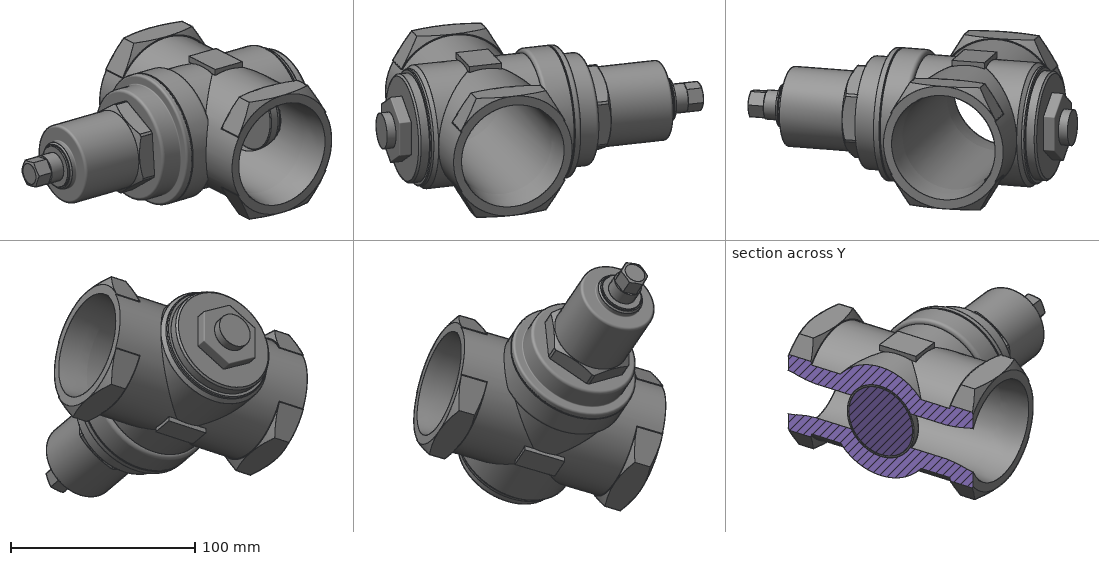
import cadquery as cq
import math

pipe_length = 119.5
shell_radius = 33.8
bore_radius = 28.0
socket_mouth_radius = 29.3
socket_depth = 17.3
end_hex_flats = 68.7
end_hex_length = 15.3
nut_chamfer_angle = 30.0
front_flange_radius = 36.3
front_flange_back_y = -27.8
front_flange_end_y = -43.2
front_flange_back_round = 2.2
front_flange_chamfer = 0.7
rear_face_y = 36.0
rear_chamfer_width = 1.8
rear_chamfer_length = 2.2
pad_length = 23.6
top_pad_width = 18.4
bottom_pad_width = 13.3
pad_height = 36.0

seal_ring_length = 1.8
seal_ring_chamfer = 0.5
plug_seat_y = rear_face_y + seal_ring_length
spigot_radius = 21.6
spigot_end_y = 21.0
spigot_chamfer = 0.5
groove_start_y = 26.0
groove_length = 1.8
groove_depth = 0.9
plug_flange_radius = 29.8
plug_flange_end_y = 43.6
plug_flange_chamfer = 1.0
rear_hex_flats = 32.7
rear_hex_end_y = 50.3
rear_hex_round = 0.5
nipple_radius = 9.8
nipple_end_y = 55.5

bonnet_flange_end_y = -46.7
bonnet_flange_round = 1.3
drum_radius = 30.9
drum_end_y = -58.9
drum_round = 1.6
base_round = 0.5
housing_hex_flats = 44.5
housing_hex_corner_radius = 25.3
housing_hex_end_y = -68.5
housing_hex_turn = 5.0
housing_radius = 21.8
housing_end_y = -104.1
housing_round = 1.5
collar_radius = 13.0
collar_end_y = -108.0
collar_chamfer = 0.9
spindle_disc_radius = 11.5
spindle_disc_end_y = -109.0
spindle_radius = 8.0
spindle_round_end_y = -117.0
spindle_end_y = -126.3
spindle_hex_turn = 8.0
spindle_tip_radius = 5.8
spindle_tip_length = 0.7


def y_cylinder(radius, start_y, end_y):
    """Solid cylinder on the Y axis."""
    return cq.Workplane("XZ", origin=(0, start_y, 0)).circle(radius).extrude(start_y - end_y)


def y_hexagon(corner_radius, turn, start_y, end_y):
    """Hexagonal prism on the Y axis, with one corner turned from +X toward +Z by `turn` degrees."""
    corners = []
    for i in range(6):
        angle = math.radians(turn + 60 * i)
        corners.append((corner_radius * math.cos(angle), corner_radius * math.sin(angle)))
    return cq.Workplane("XZ", origin=(0, start_y, 0)).polyline(corners).close().extrude(start_y - end_y)


def corner_radius_of(flats):
    """Corner radius of a hexagon from its size across flats."""
    return flats / math.sqrt(3)


def make_end_hexagon(side):
    """Trimmed hexagon at one pipe end, its corners chamfered at both faces."""
    flat_radius = end_hex_flats / 2
    corner_radius = corner_radius_of(end_hex_flats)
    rise = (corner_radius - flat_radius) * math.tan(math.radians(nut_chamfer_angle))
    inner_x = pipe_length / 2 - end_hex_length
    outer_x = pipe_length / 2
    hexagon = cq.Workplane("YZ", origin=(inner_x, 0, 0)).polygon(6, 2 * corner_radius).extrude(end_hex_length)
    envelope = (
        cq.Workplane("XY")
        .moveTo(inner_x, 0)
        .lineTo(inner_x, flat_radius)
        .lineTo(inner_x + rise, corner_radius)
        .lineTo(outer_x - rise, corner_radius)
        .lineTo(outer_x, flat_radius)
        .lineTo(outer_x, 0)
        .close()
        .revolve(360, (0, 0, 0), (1, 0, 0))
    )
    side_gap = cq.Workplane("XY").box(2 * pipe_length, 2 * end_hex_flats, flat_radius)
    hexagon = hexagon.intersect(envelope).cut(side_gap)
    return hexagon if side > 0 else hexagon.mirror("YZ")


def make_valve_body():
    pipe = cq.Workplane("YZ").circle(shell_radius).extrude(pipe_length / 2, both=True)
    for side in (-1, 1):
        pipe = pipe.union(make_end_hexagon(side))

    barrel = (
        y_cylinder(shell_radius, rear_face_y, front_flange_end_y)
        .faces(">Y")
        .chamfer(rear_chamfer_length, rear_chamfer_width)
    )
    flange = (
        y_cylinder(front_flange_radius, front_flange_back_y, front_flange_end_y)
        .faces(">Y").edges().fillet(front_flange_back_round)
        .faces("<Y").chamfer(front_flange_chamfer)
    )
    body = pipe.union(barrel).union(flange)

    top_pad = cq.Workplane("XY").rect(pad_length, top_pad_width).extrude(pad_height)
    bottom_pad = cq.Workplane("XY").rect(pad_length, bottom_pad_width).extrude(-pad_height)
    body = body.union(top_pad).union(bottom_pad)

    return body.cut(make_pipe_bore()).cut(y_cylinder(spigot_radius, rear_face_y, 0))


def make_pipe_bore():
    """Through bore along X with a tapered socket at each end."""
    end_x = pipe_length / 2
    step_x = end_x - socket_depth
    return (
        cq.Workplane("XY")
        .moveTo(-end_x, 0)
        .lineTo(-end_x, socket_mouth_radius)
        .lineTo(-step_x, bore_radius)
        .lineTo(step_x, bore_radius)
        .lineTo(end_x, socket_mouth_radius)
        .lineTo(end_x, 0)
        .close()
        .revolve(360, (0, 0, 0), (1, 0, 0))
    )


def make_seal_ring():
    """Flat ring between the rear face of the valve body and the plug flange."""
    ring = (
        y_cylinder(shell_radius - rear_chamfer_width, plug_seat_y, rear_face_y)
        .faces(">Y")
        .chamfer(seal_ring_chamfer)
    )
    return ring.cut(y_cylinder(spigot_radius, plug_seat_y, rear_face_y))


def make_rear_plug():
    """Flanged plug whose grooved spigot fills the rear opening of the valve body."""
    flange = (
        y_cylinder(plug_flange_radius, plug_flange_end_y, plug_seat_y)
        .faces(">Y")
        .chamfer(plug_flange_chamfer)
    )
    spigot = (
        y_cylinder(spigot_radius, plug_seat_y, spigot_end_y)
        .faces("<Y")
        .chamfer(spigot_chamfer)
    )
    groove_end_y = groove_start_y + groove_length
    groove = y_cylinder(spigot_radius, groove_end_y, groove_start_y).cut(
        y_cylinder(spigot_radius - groove_depth, groove_end_y, groove_start_y)
    )
    return flange.union(spigot.cut(groove))


def make_rear_nipple():
    """Round nipple on a hexagon, one corner of it pointing up."""
    hexagon = y_hexagon(corner_radius_of(rear_hex_flats), 90, rear_hex_end_y, plug_flange_end_y)
    hexagon = hexagon.edges().fillet(rear_hex_round)
    return hexagon.union(y_cylinder(nipple_radius, nipple_end_y, rear_hex_end_y))


def make_base_round(radius, base_y):
    """Ring with a concave round, at the foot of a cylinder that stands toward -Y on a face."""
    round_end = (radius, base_y - base_round)
    round_start = (radius + base_round, base_y)
    sag = base_round * (1 - math.sqrt(0.5))
    return (
        cq.Workplane("XY")
        .moveTo(0, base_y)
        .lineTo(*round_start)
        .threePointArc((radius + sag, base_y - sag), round_end)
        .lineTo(0, base_y - base_round)
        .close()
        .revolve(360, (0, 0, 0), (0, 1, 0))
    )


def make_bonnet():
    flange = (
        y_cylinder(front_flange_radius, front_flange_end_y, bonnet_flange_end_y)
        .faces("<Y").edges().fillet(bonnet_flange_round)
    )
    drum = (
        y_cylinder(drum_radius, bonnet_flange_end_y, drum_end_y)
        .faces("<Y").edges().fillet(drum_round)
    )
    return flange.union(drum).union(make_base_round(drum_radius, bonnet_flange_end_y))


def make_spring_housing():
    """Hexagon with turned-down, chamfered corners, then a cylinder that ends in a collar."""
    hexagon = y_hexagon(
        corner_radius_of(housing_hex_flats), 30 + housing_hex_turn, drum_end_y, housing_hex_end_y
    )
    chamfer_width = housing_hex_corner_radius - housing_radius
    chamfer_length = chamfer_width * math.tan(math.radians(nut_chamfer_angle))
    envelope = (
        y_cylinder(housing_hex_corner_radius, drum_end_y, housing_hex_end_y)
        .faces("<Y")
        .chamfer(chamfer_length, chamfer_width)
    )
    cylinder = (
        y_cylinder(housing_radius, drum_end_y, housing_end_y)
        .faces("<Y").edges().fillet(housing_round)
    )
    collar = (
        y_cylinder(collar_radius, housing_end_y, collar_end_y)
        .faces("<Y")
        .chamfer(collar_chamfer)
        .union(make_base_round(collar_radius, housing_end_y))
    )
    return hexagon.intersect(envelope).union(cylinder).union(collar)


def make_spindle():
    """Disc on the collar and a round shaft, ending in a hexagon with a chamfered tip."""
    disc = y_cylinder(spindle_disc_radius, collar_end_y, spindle_disc_end_y)
    shaft = y_cylinder(spindle_radius, spindle_disc_end_y, spindle_round_end_y)
    hexagon = y_hexagon(spindle_radius, spindle_hex_turn, spindle_round_end_y, spindle_end_y)
    envelope = (
        y_cylinder(spindle_radius, spindle_round_end_y, spindle_end_y)
        .faces("<Y")
        .chamfer(spindle_tip_length, spindle_radius - spindle_tip_radius)
    )
    return disc.union(shaft).union(hexagon.intersect(envelope))


valve_body = make_valve_body()
seal_ring = make_seal_ring()
rear_plug = make_rear_plug()
rear_nipple = make_rear_nipple()
bonnet = make_bonnet()
spring_housing = make_spring_housing()
spindle = make_spindle()

result = cq.Compound.makeCompound([
    valve_body.val(),
    seal_ring.val(),
    rear_plug.val(),
    rear_nipple.val(),
    bonnet.val(),
    spring_housing.val(),
    spindle.val(),
])